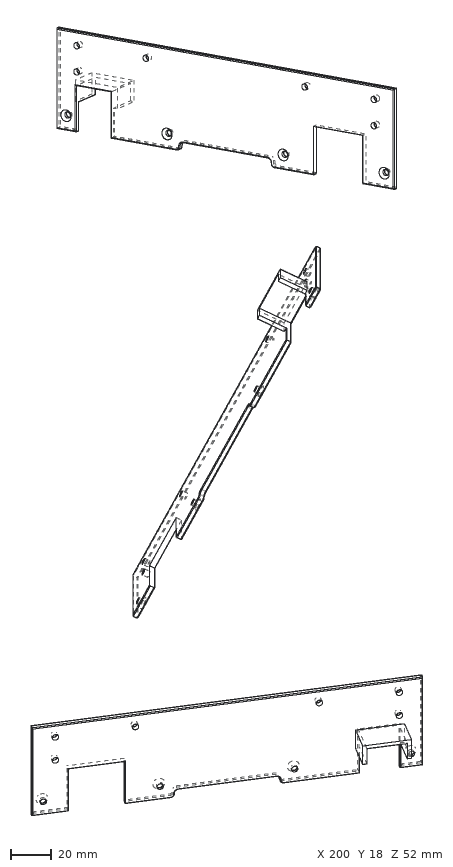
import cadquery as cq

length = 200.0
height = 52.0
thickness = 3.0
middle_x = length / 2
edge_chamfer = 0.5

left_window_start = 11.5
left_window_end = 32.2
left_window_top = 24.0
right_window_start = 152.2
right_window_end = 181.5
right_window_top = 25.2

relief_width = 54.0
relief_depth = 4.5
relief_radius = 2.0

total_depth = 18.0
hood_side_wall = 2.2
hood_top_wall = 2.0
hood_bottom = 15.0

hole_diameter = 3.2
outer_hole_offset = 88.0
inner_hole_offset = 47.0
upper_hole_z = 44.8
lower_hole_z = 31.2
countersink_diameter = 6.0
countersink_angle = 90
outer_screw_offset = 94.2
inner_screw_offset = 34.5
screw_z = 7.5


def block(x_start, x_end, y_start, y_end, z_start, z_end):
    """Box between the given limits."""
    size = (x_end - x_start, y_end - y_start, z_end - z_start)
    return cq.Workplane("XY").box(*size, centered=False).translate((x_start, y_start, z_start))


def mirrored(offset, z):
    """Pair of points on the front face, either side of the middle."""
    return [(middle_x - offset, z), (middle_x + offset, z)]


def make_plate():
    plate = block(0, length, 0, thickness, 0, height)
    relief_start = middle_x - relief_width / 2
    relief_end = middle_x + relief_width / 2
    plate = plate.cut(block(relief_start, relief_end, 0, thickness, 0, relief_depth))
    relief_edges = cq.selectors.BoxSelector(
        (relief_start - relief_radius, 0, -relief_radius),
        (relief_end + relief_radius, thickness, relief_depth + relief_radius),
    )
    plate = plate.edges(relief_edges).edges("|Y").fillet(relief_radius)
    plate = plate.cut(block(left_window_start, left_window_end, 0, thickness, 0, left_window_top))
    plate = plate.faces("<Y or >Y").edges().chamfer(edge_chamfer)
    return plate.cut(block(right_window_start, right_window_end, 0, thickness, 0, right_window_top))


def make_hood():
    """Hood reaching into the plate, so that it also closes the window's rear bevel."""
    hood = block(
        left_window_start - hood_side_wall,
        left_window_end + hood_side_wall,
        thickness - edge_chamfer,
        total_depth,
        hood_bottom,
        left_window_top + hood_top_wall,
    )
    opening = block(left_window_start, left_window_end, 0, total_depth, 0, left_window_top)
    return hood.cut(opening)


def drill_holes(body):
    plain_holes = (
        mirrored(outer_hole_offset, upper_hole_z)
        + mirrored(outer_hole_offset, lower_hole_z)
        + mirrored(inner_hole_offset, upper_hole_z)
    )
    screw_holes = mirrored(outer_screw_offset, screw_z) + mirrored(inner_screw_offset, screw_z)
    front = cq.Workplane("XZ")
    drills = front.pushPoints(plain_holes + screw_holes).circle(hole_diameter / 2).extrude(-thickness)
    body = body.cut(drills)
    front = body.faces("<Y").workplane(origin=(0, 0, 0))
    return front.pushPoints(screw_holes).cskHole(
        hole_diameter, countersink_diameter, countersink_angle, depth=thickness
    )


result = drill_holes(make_plate()).union(make_hood())